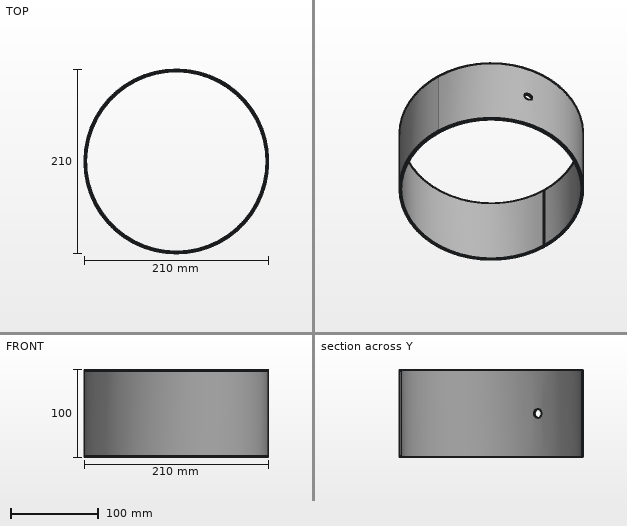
import cadquery as cq

outer_diameter = 210.0
height = 100.0
wall = 2.5
outer_bevel_depth = 0.6
outer_bevel_height = 1.7
inner_bevel = 0.8
slit_width = 1.7
hole_diameter = 10.0
hole_angle = 59.0

outer_radius = outer_diameter / 2
inner_radius = outer_radius - wall
half_height = height / 2
cutter_start = outer_radius / 2
cutter_length = outer_radius


def ring():
    """Thin cylinder centred on the origin, with all four rim edges bevelled."""
    outer_shoulder = half_height - outer_bevel_height
    inner_shoulder = half_height - inner_bevel
    profile = [
        (inner_radius, -inner_shoulder),
        (inner_radius + inner_bevel, -half_height),
        (outer_radius - outer_bevel_depth, -half_height),
        (outer_radius, -outer_shoulder),
        (outer_radius, outer_shoulder),
        (outer_radius - outer_bevel_depth, half_height),
        (inner_radius + inner_bevel, half_height),
        (inner_radius, inner_shoulder),
    ]
    return cq.Workplane("XZ").polyline(profile).close().revolve(360, (0, 0, 0), (0, 1, 0))


def slit():
    """Full-height cutter that splits the wall on the -X side, with one face on the XZ plane."""
    return (
        cq.Workplane("XY", origin=(-cutter_start - cutter_length, 0, 0))
        .box(cutter_length, slit_width, height, centered=(False, False, True))
    )


def radial_hole():
    """Round cutter through one side of the wall at mid height."""
    return (
        cq.Workplane("YZ", origin=(cutter_start, 0, 0))
        .circle(hole_diameter / 2)
        .extrude(cutter_length)
        .rotate((0, 0, 0), (0, 0, 1), hole_angle)
    )


result = ring().cut(slit()).cut(radial_hole())